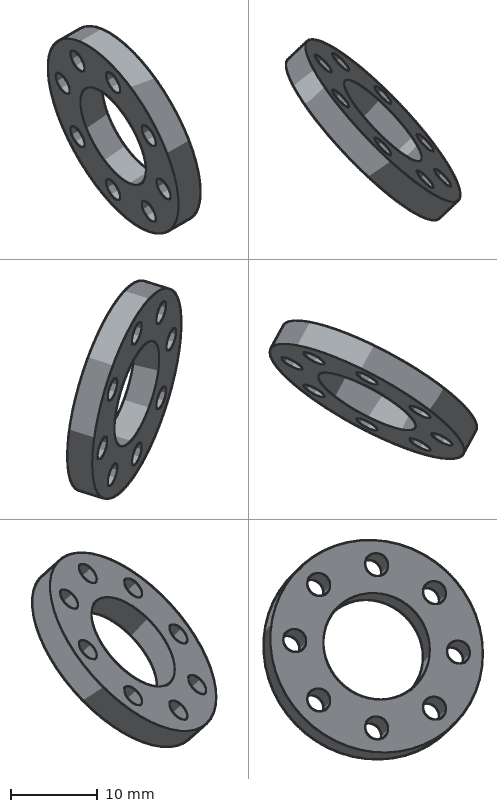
import cadquery as cq

outer_diameter = 25.4
bore_diameter = outer_diameter / 2
thickness = outer_diameter / 8

hole_count = 8
hole_diameter = 2.72
bolt_circle_diameter = 19.55


def front_face_plane():
    """Workplane on the front (-Y) face; its normal points towards -Y."""
    return cq.Workplane("XZ", origin=(0, -thickness / 2, 0))


def make_ring():
    """Disc with a central bore, centred on the origin."""
    return (
        front_face_plane()
        .circle(outer_diameter / 2)
        .circle(bore_diameter / 2)
        .extrude(-thickness)
    )


def make_bolt_holes():
    """Cylinders that cut the bolt holes through the full thickness."""
    return (
        front_face_plane()
        .polarArray(bolt_circle_diameter / 2, 0, 360, hole_count)
        .circle(hole_diameter / 2)
        .extrude(-thickness)
    )


result = make_ring().cut(make_bolt_holes())